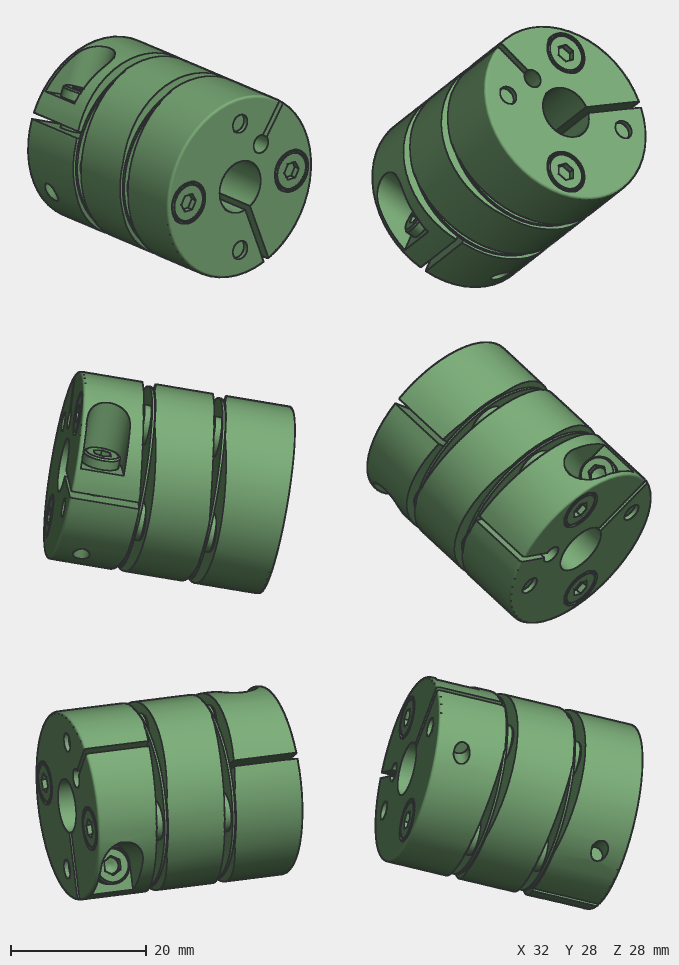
import cadquery as cq
import math

total_length = 32.0
hub_length = 10.5
disc_thickness = 0.4
spacer_start = hub_length + disc_thickness
spacer_length = total_length - 2 * spacer_start

outer_diameter = 28.0
disc_diameter = 27.0
shaft_bore = 8.0
spacer_bore = 12.0
rim_rounding = 0.4

relief_offset = 4.0
relief_depth = 1.4

bolt_radius = 10.0
bolt_head_diameter = 5.9
bolt_head_chamfer = 0.2
bolt_head_recess = 6.5
bolt_recess_depth = 0.4
hex_size = 2.45
bolt_hex_depth = 0.95
bolt_end_hole = 2.8
bolt_end_depth = 0.77
washer_diameter = 5.9
washer_thickness = 1.0
collar_diameter = 5.5

slot_width = 1.0
clamp_slot_tilt = 21.5
clamp_slot_angle = 180 - clamp_slot_tilt
hinge_slot_width = 0.9
hinge_slot_angle = 35.0
hinge_hole_diameter = 2.8
hinge_hole_radius = 7.05

clamp_x = 4.0
clamp_radius = 9.5
clamp_seat_height = 4.0
clamp_pocket_width = 6.5
clamp_head_diameter = 5.5
clamp_head_height = 1.7
clamp_head_chamfer = 0.3
clamp_hex_depth = 1.0
clamp_hex_cone_depth = 0.48
clamp_shank_diameter = 3.0
clamp_shank_length = 12.0
clamp_tap_diameter = 2.45

slot_direction = (
    math.cos(math.radians(clamp_slot_angle)),
    math.sin(math.radians(clamp_slot_angle)),
)
hex_circumscribed = hex_size / math.cos(math.radians(30))


def rod(diameter, start, length, y=0.0, z=0.0):
    """Cylinder along X that starts at x = start."""
    return cq.Workplane("YZ", origin=(start, y, z)).circle(diameter / 2).extrude(length)


def opposite_end(shape):
    """Carry a shape to the other end by a half turn about the diagonal YZ axis at mid length."""
    middle = total_length / 2
    return shape.rotate((middle, 0, 0), (middle, 0.32, 0.32), 180)


def face_reliefs(face_x, depth, turn):
    """Two wedges that slope a face away on both sides of a flat band; turn is about X, from +Y."""
    edge = outer_diameter / 2
    wedge = (
        cq.Workplane("XY", origin=(0, 0, -edge))
        .moveTo(face_x, relief_offset)
        .lineTo(face_x, edge)
        .lineTo(face_x + depth, edge)
        .close()
        .extrude(2 * edge)
    )
    pair = wedge.union(wedge.mirror("XZ"))
    return pair.rotate((0, 0, 0), (1, 0, 0), turn)


def radial_slot(angle, start_radius, width):
    """Slot through the hub from a radius to beyond the rim."""
    length = outer_diameter / 2
    slot = cq.Workplane("XY").box(hub_length, length, width, centered=(False, False, True))
    return slot.translate((0, start_radius, 0)).rotate((0, 0, 0), (1, 0, 0), angle)


def clamp_plane():
    """Plane of the screw head seat: local X along the coupling, local -Y outwards along the clamp slot."""
    along, rise = slot_direction
    normal = (0, rise, -along)
    origin = (
        clamp_x,
        clamp_radius * along + clamp_seat_height * normal[1],
        clamp_radius * rise + clamp_seat_height * normal[2],
    )
    return cq.Plane(origin=origin, xDir=(1, 0, 0), normal=normal)


def clamp_cutout():
    """Open-sided head pocket, shank hole and tapped hole of the clamp screw."""
    seat = cq.Workplane(clamp_plane())
    reach = outer_diameter
    pocket = seat.circle(clamp_pocket_width / 2).extrude(reach)
    opening = seat.center(0, -reach / 2).rect(clamp_pocket_width, reach).extrude(reach)
    shank_hole = seat.circle(clamp_shank_diameter / 2).extrude(-clamp_shank_length)
    tapped_hole = seat.circle(clamp_tap_diameter / 2).extrude(-reach)
    return pocket.union(opening).union(shank_hole).union(tapped_hole)


def bolt_head_ring(y, z):
    """Recess around a bolt head that is flush with the hub face."""
    head = rod(bolt_head_diameter, 0, bolt_recess_depth, y, z).faces("<X").chamfer(bolt_head_chamfer)
    return rod(bolt_head_recess, 0, bolt_recess_depth, y, z).cut(head)


def bolt_socket(y, z):
    """Hexagon socket in a bolt head, corners up and down."""
    hexagon = cq.Workplane("YZ", origin=(0, y, z)).transformed(rotate=(0, 0, 90))
    return hexagon.polygon(6, hex_circumscribed).extrude(bolt_hex_depth)


def washer(disc_face, direction, y, z):
    """Washer against a disc face with the narrower collar that carries it."""
    plate = rod(washer_diameter, disc_face, direction * washer_thickness, y, z)
    collar = rod(collar_diameter, disc_face, direction * relief_depth, y, z)
    return plate.union(collar)


def make_end():
    """Clamp hub with its disc and the washers on both sides of that disc."""
    hub = rod(outer_diameter, 0, hub_length).faces("<X").fillet(rim_rounding)
    hub = hub.cut(face_reliefs(hub_length, -relief_depth, 90))
    hub = hub.cut(radial_slot(clamp_slot_angle, 0, slot_width))
    hub = hub.cut(radial_slot(hinge_slot_angle, hinge_hole_radius, hinge_slot_width))
    hinge = math.radians(hinge_slot_angle)
    hinge_y = hinge_hole_radius * math.cos(hinge)
    hinge_z = hinge_hole_radius * math.sin(hinge)
    hub = hub.cut(rod(hinge_hole_diameter, 0, hub_length, hinge_y, hinge_z))
    hub = hub.cut(clamp_cutout())

    end = hub.union(rod(disc_diameter, hub_length, disc_thickness))
    end = end.cut(rod(shaft_bore, 0, spacer_start))
    for place in (-bolt_radius, bolt_radius):
        end = end.cut(bolt_head_ring(0, place)).cut(bolt_socket(0, place))
        end = end.cut(rod(bolt_end_hole, 0, bolt_end_depth, place, 0))
        end = end.union(washer(hub_length, -1, 0, place))
        end = end.union(washer(spacer_start, 1, place, 0))
    return end


def make_spacer():
    """Middle ring, sloped across Y at its first face and across Z at the other."""
    reliefs = face_reliefs(spacer_start, relief_depth, 0)
    ring = rod(outer_diameter, spacer_start, spacer_length)
    ring = ring.cut(rod(spacer_bore, spacer_start, spacer_length))
    return ring.cut(reliefs).cut(opposite_end(reliefs))


def make_coupling():
    """Both hubs, both discs and the spacer as one body."""
    end = make_end()
    return make_spacer().union(end).union(opposite_end(end))


def make_clamp_screw():
    """Socket head screw that closes the clamp slot."""
    seat = cq.Workplane(clamp_plane())
    head = seat.circle(clamp_head_diameter / 2).extrude(clamp_head_height - clamp_head_chamfer)
    rim = (
        seat.workplane(offset=clamp_head_height - clamp_head_chamfer)
        .circle(clamp_head_diameter / 2)
        .workplane(offset=clamp_head_chamfer)
        .circle(clamp_head_diameter / 2 - clamp_head_chamfer)
        .loft()
    )
    shank = seat.circle(clamp_shank_diameter / 2).extrude(-clamp_shank_length)
    socket_floor = clamp_head_height - clamp_hex_depth
    socket = (
        seat.workplane(offset=socket_floor)
        .transformed(rotate=(0, 0, 90))
        .polygon(6, hex_circumscribed)
        .extrude(clamp_hex_depth)
    )
    along_normal = seat.plane.zDir
    cone_base = seat.plane.origin + along_normal * socket_floor
    cone = cq.Solid.makeCone(hex_size / 2, 0, clamp_hex_cone_depth, cone_base, along_normal * -1)
    return head.union(rim).union(shank).cut(socket).cut(cq.Workplane(cone))


coupling = make_coupling()
first_screw = make_clamp_screw()
clamp_screws = [first_screw, opposite_end(first_screw)]

bodies = [coupling, *clamp_screws]
result = cq.Compound.makeCompound([body.solids().val() for body in bodies])